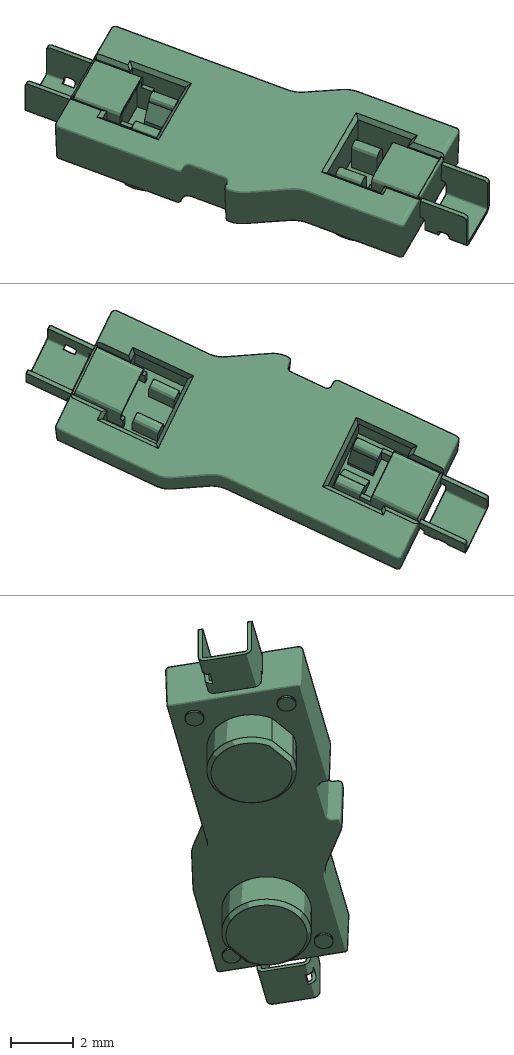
import cadquery as cq
import math

total_height = 3.0
body_bottom = 1.2
pocket_floor = 1.36

body_half_length = 5.93
body_half_width = 5.39 / 2
left_back_y = 1.81
right_front_y = -1.69
ramp_angle = math.radians(30)
ramp_start_x = 0.51
notch_left_x = -1.46
notch_right_x = 0.05
notch_y = -2.3
corner_radius = 0.15
ramp_radius = 1.05
body_draft = 1.5
top_fillet = 0.14
bottom_fillet = 0.1

contact_y = 0.51
terminal_width = 1.75
sheet = 0.14
bend_radius = 0.24

terminal_end_x = 7.55
tray_start_x = 6.09
tray_bottom = 1.16
tray_top = 2.76
tray_corner_radius = 0.15
relief_top = 1.93
slot_x = 6.73
slot_width = 0.41
slot_reach = 0.25
slot_top = 1.54

cap_start_x = 4.2
cap_end_x = 5.85
cap_top = 2.97
cap_recess = 0.15

pocket_start_x = 2.65
pocket_end_x = 4.8
pocket_outer_reach = 1.31
edge_bevel = 0.14

leaf_start_x = 2.9
leaf_end_x = 3.8
leaf_width = 0.42
leaf_top = 2.46
leaf_flank_width = 0.33
leaf_flank_drop = 0.6

pin_x = 3.5
pin_radius = 1.43
pin_chamfer = 0.14
pin_flat_distance = 1.35
pin_flat_angle = 60
bump_x = 5.18
bump_offset_y = 1.51
bump_diameter = 0.6
bump_height = 0.08


def box(x0, x1, y0, y1, z0, z1):
    """Box between two limits on each axis."""
    return cq.Workplane("XY").box(x1 - x0, y1 - y0, z1 - z0, centered=False).translate((x0, y0, z0))


def make_housing():
    """Drafted S-shaped block with a notch in its front edge."""
    back_run = (body_half_width - left_back_y) / math.tan(ramp_angle)
    front_run = (right_front_y + body_half_width) / math.tan(ramp_angle)
    corners = [
        (-body_half_length, -body_half_width, corner_radius),
        (notch_left_x, -body_half_width, corner_radius),
        (notch_left_x, notch_y, corner_radius),
        (notch_right_x, notch_y, corner_radius),
        (notch_right_x, -body_half_width, corner_radius),
        (ramp_start_x, -body_half_width, ramp_radius),
        (ramp_start_x + front_run, right_front_y, ramp_radius),
        (body_half_length, right_front_y, corner_radius),
        (body_half_length, body_half_width, corner_radius),
        (ramp_start_x + back_run, body_half_width, ramp_radius),
        (ramp_start_x, left_back_y, ramp_radius),
        (-body_half_length, left_back_y, corner_radius),
    ]
    blank = (
        cq.Workplane("XY", origin=(0, 0, body_bottom))
        .polyline([(x, y) for x, y, radius in corners])
        .close()
        .extrude(total_height - body_bottom)
    )
    middle_z = (total_height + body_bottom) / 2
    for x, y, radius in corners:
        blank = blank.edges(cq.NearestToPointSelector((x, y, middle_z))).fillet(radius)
    outline = blank.faces(">Z").wires().val()
    body = (
        cq.Workplane("XY", origin=(0, 0, total_height))
        .add(outline)
        .toPending()
        .extrude(body_bottom - total_height, taper=body_draft)
    )
    return body.faces(">Z").edges().fillet(top_fillet).faces("<Z").edges().fillet(bottom_fillet)


def bevelled_opening(x0, x1, y0, y1):
    """Bevel cutter that widens a rectangular opening at the top face."""
    return (
        cq.Workplane("XY", origin=((x0 + x1) / 2, (y0 + y1) / 2, total_height))
        .rect(x1 - x0 + 2 * edge_bevel, y1 - y0 + 2 * edge_bevel)
        .extrude(-edge_bevel, taper=45)
    )


def make_pocket(inner_reach):
    """Cutter for the contact pocket and the narrower channel for the terminal cap."""
    y0 = contact_y - inner_reach + edge_bevel
    y1 = contact_y + pocket_outer_reach - edge_bevel
    x0 = pocket_start_x + edge_bevel
    x1 = pocket_end_x - edge_bevel
    channel_y0 = contact_y - terminal_width / 2
    channel_y1 = contact_y + terminal_width / 2
    pocket = box(x0, x1, y0, y1, pocket_floor, total_height)
    channel = box(x1, cap_end_x, channel_y0, channel_y1, pocket_floor, total_height)
    channel_bevel = bevelled_opening(x1, body_half_length + edge_bevel, channel_y0, channel_y1)
    end_wall = box(
        cap_end_x, body_half_length + 2 * edge_bevel, channel_y0, channel_y1, pocket_floor, total_height
    )
    return pocket.union(bevelled_opening(x0, x1, y0, y1)).union(channel).union(channel_bevel.cut(end_wall))


def make_tray():
    """U-shaped terminal outside the housing, with a slot through one bend."""
    y0 = contact_y - terminal_width / 2
    y1 = contact_y + terminal_width / 2
    tray = box(cap_end_x, terminal_end_x, y0, y1, tray_bottom, tray_top)
    tray = tray.edges("|X and <Z").fillet(bend_radius)
    hollow = box(cap_end_x, terminal_end_x, y0 + sheet, y1 - sheet, tray_bottom + sheet, tray_top)
    tray = tray.cut(hollow.edges("|X and <Z").fillet(bend_radius - sheet))
    tray = tray.edges("|Y and >X and >Z").fillet(tray_corner_radius)
    relief = box(cap_end_x, tray_start_x, y0, y1, tray_bottom, relief_top)
    relief = relief.edges("|Y and >X and >Z").fillet(tray_start_x - body_half_length)
    slot = box(
        slot_x - slot_width / 2, slot_x + slot_width / 2, y0, y0 + slot_reach, tray_bottom, slot_top
    )
    return tray.cut(relief).cut(slot.edges("|Y and >Z").fillet(slot_width / 3))


def make_cap(wall_lead):
    """Cap filling the channel, hollow at its inner end, with walls leading on into the pocket."""
    y0 = contact_y - terminal_width / 2
    y1 = contact_y + terminal_width / 2
    cap = box(cap_start_x, cap_end_x, y0, y1, pocket_floor, cap_top).edges("|X and >Z").fillet(bend_radius)
    hollow = box(
        cap_start_x, cap_start_x + cap_recess, y0 + sheet, y1 - sheet, pocket_floor, cap_top - sheet
    )
    cap = cap.cut(hollow.edges("|X and >Z").fillet(bend_radius - sheet))
    for wall_y in (y0, y1 - sheet):
        cap = cap.union(
            box(cap_start_x - wall_lead, cap_start_x, wall_y, wall_y + sheet, pocket_floor, leaf_top)
        )
    return cap


def make_leaves(outer, flanked):
    """Pair of round-topped spring leaves, optionally sloping down toward each other."""
    inner = outer - leaf_width
    shoulder = leaf_top - leaf_width / 2
    profile = (
        cq.Workplane("YZ", origin=(leaf_start_x, contact_y, 0))
        .moveTo(outer, pocket_floor)
        .lineTo(outer, shoulder)
        .threePointArc(((outer + inner) / 2, leaf_top), (inner, shoulder))
    )
    if flanked:
        profile = profile.lineTo(inner - leaf_flank_width, shoulder - leaf_flank_drop)
        profile = profile.lineTo(inner - leaf_flank_width, pocket_floor)
    else:
        profile = profile.lineTo(inner, pocket_floor)
    leaf = profile.close().extrude(leaf_end_x - leaf_start_x)
    opposite = leaf.mirror("XZ", (0, contact_y, 0))
    return leaf.union(opposite)


def make_pin():
    """Chamfered pin with a narrow flat on its outer side."""
    pin = cq.Workplane("XY").circle(pin_radius).extrude(body_bottom).faces("<Z").chamfer(pin_chamfer)
    flat_cut = (
        cq.Workplane("XZ")
        .moveTo(pin_flat_distance - pin_chamfer, 0)
        .lineTo(pin_flat_distance, pin_chamfer)
        .lineTo(pin_flat_distance, body_bottom)
        .lineTo(pin_radius, body_bottom)
        .lineTo(pin_radius, 0)
        .close()
        .extrude(pin_radius, both=True)
        .rotate((0, 0, 0), (0, 0, 1), pin_flat_angle)
    )
    return pin.cut(flat_cut).translate((pin_x, contact_y, 0))


def make_bumps():
    """Low round standoffs under the outer corners of the housing."""
    return (
        cq.Workplane("XY", origin=(0, 0, body_bottom - bump_height))
        .pushPoints([(bump_x, contact_y + side * bump_offset_y) for side in (-1, 1)])
        .circle(bump_diameter / 2)
        .extrude(2 * bump_height)
    )


def half_turn(shape):
    """Turn a shape from the +X end to the -X end."""
    return shape.rotate((0, 0, 0), (0, 0, 1), 180)


def make_contact(wall_lead, leaf_reach, flanked):
    """All that one contact adds to the housing, at the +X end."""
    contact = make_tray().union(make_cap(wall_lead)).union(make_leaves(leaf_reach, flanked))
    return contact.union(make_pin()).union(make_bumps())


right_pocket_reach = 1.31
left_pocket_reach = 1.2
right_wall_lead = 0.1
right_leaf_reach = 0.82
left_leaf_reach = terminal_width / 2
left_wall_lead = cap_start_x - leaf_end_x

housing = make_housing()
housing = housing.cut(make_pocket(right_pocket_reach)).cut(half_turn(make_pocket(left_pocket_reach)))
result = housing.union(make_contact(right_wall_lead, right_leaf_reach, False))
result = result.union(half_turn(make_contact(left_wall_lead, left_leaf_reach, True)))